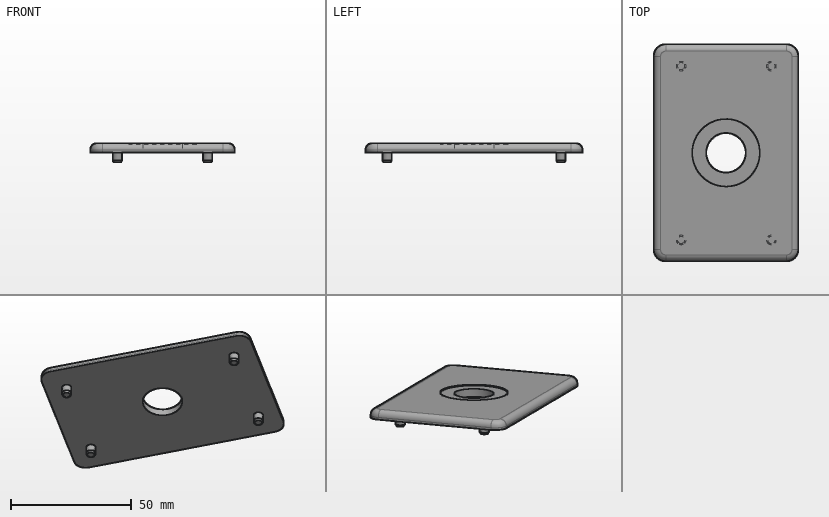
import cadquery as cq
import math

plate_width = 60.0
plate_length = 90.0
plate_thickness = 3.9
overall_height = 8.0
corner_radius = 5.0
edge_land = 1.1
top_fillet = plate_thickness - edge_land

hole_diameter = 16.3
recess_diameter = 28.0
recess_depth = 0.45

pin_diameter = 4.0
pin_length = overall_height - plate_thickness
pin_spacing_x = 37.4
pin_spacing_y = 72.0
pin_tip_inset = 0.5
pin_tip_angle = 30.0
pin_tip_height = pin_tip_inset / math.tan(math.radians(pin_tip_angle))


def make_plate():
    """Rectangular plate with rounded corners and a rounded top edge."""
    plate = cq.Workplane("XY").rect(plate_width, plate_length).extrude(plate_thickness)
    plate = plate.edges("|Z").fillet(corner_radius)
    return plate.faces(">Z").edges().fillet(top_fillet)


def cut_opening(plate):
    """Through hole in the middle, counterbored from the top."""
    top_face = plate.faces(">Z").workplane(origin=(0, 0, 0))
    return top_face.cboreHole(hole_diameter, recess_diameter, recess_depth)


def make_pins():
    """Four downward pins with tapered tips, one towards each corner."""
    return (
        cq.Workplane("XY")
        .rarray(pin_spacing_x, pin_spacing_y, 2, 2)
        .circle(pin_diameter / 2)
        .extrude(-pin_length)
        .faces("<Z")
        .chamfer(pin_tip_height, pin_tip_inset)
    )


result = cut_opening(make_plate()).union(make_pins())